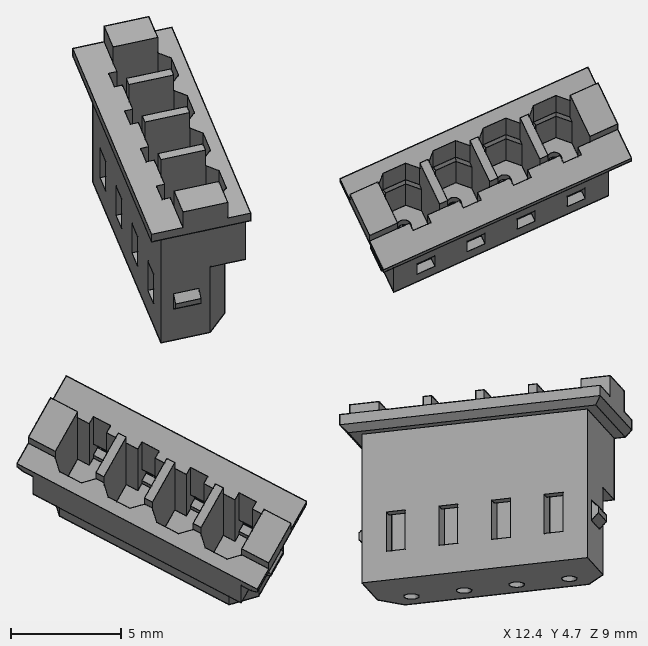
import cadquery as cq

length = 12.4
depth = 4.7
height = 9.0

contact_count = 4
pitch = 2.5
contact_xs = [(i - (contact_count - 1) / 2) * pitch for i in range(contact_count)]

tab_height = 1.0
tab_front_y = 1.49
tab_depth = 2.12
flange_thickness = 0.8
flange_chamfer = 0.31
flange_top_z = height - tab_height
flange_bottom_z = flange_top_z - flange_thickness

body_length = 10.74
body_front_y = 0.7
step_z = 4.22
lower_back_y = 4.02
lower_bevel = 0.99

cavity_width = 2.1
cavity_front_y = tab_front_y
cavity_back_wall = 0.6
cavity_bevel = 0.48
cavity_floor_z = 0.9
ramp_size = 0.15
ramp_bottom_z = step_z + cavity_back_wall
ramp_top_z = ramp_bottom_z + ramp_size
upper_back_y = depth - cavity_back_wall
narrow_back_y = upper_back_y - ramp_size
narrow_bevel = cavity_bevel + ramp_size * (2**0.5 - 1)

slot_width = 0.89
slot_depth = 0.38
window_bottom_z = 1.4
window_height = 1.9
pin_hole_diameter = 0.7
pin_hole_y = 3.05

lug_projection = 0.33
lug_front_y = 1.29
lug_width = 1.2
lug_center_z = 2.5
lug_tip_height = 0.31


def box(x_center, x_size, y_min, y_max, z_min, z_max):
    """Box centred on x_center, with its Y and Z limits given."""
    return (
        cq.Workplane("XY")
        .box(x_size, y_max - y_min, z_max - z_min, centered=(True, False, False))
        .translate((x_center, y_min, z_min))
    )


def bevelled_outline(width, front_y, back_y, bevel):
    """Corner points of a rectangle with its two back corners cut at 45 degrees."""
    half = width / 2
    return [
        (-half, front_y),
        (half, front_y),
        (half, back_y - bevel),
        (half - bevel, back_y),
        (-half + bevel, back_y),
        (-half, back_y - bevel),
    ]


def make_body():
    lower_outline = bevelled_outline(body_length, body_front_y, lower_back_y, lower_bevel)
    lower = cq.Workplane("XY").polyline(lower_outline).close().extrude(step_z)
    upper = box(0, body_length, body_front_y, depth, step_z, flange_bottom_z)
    return lower.union(upper)


def make_flange():
    flange = box(0, length, 0, depth, flange_bottom_z, flange_top_z)
    return flange.faces("<Z").edges("<Y or <X or >X").chamfer(flange_chamfer)


def make_tab_bar():
    return box(0, length, tab_front_y, tab_front_y + tab_depth, flange_top_z, height)


def make_lug(side):
    """Trapezoidal lug with 45 degree flanks; side is -1 or 1 along X."""
    root_x = side * body_length / 2
    tip_x = root_x + side * lug_projection
    half_tip = lug_tip_height / 2
    half_root = half_tip + lug_projection
    profile = [
        (root_x, lug_center_z - half_root),
        (tip_x, lug_center_z - half_tip),
        (tip_x, lug_center_z + half_tip),
        (root_x, lug_center_z + half_root),
    ]
    back_plane = cq.Workplane("XZ", origin=(0, lug_front_y + lug_width, 0))
    return back_plane.polyline(profile).close().extrude(lug_width)


def make_contact_cut(x):
    """Everything removed for one contact: cavity, slot, latch window and pin hole."""
    narrow_outline = bevelled_outline(cavity_width, cavity_front_y, narrow_back_y, narrow_bevel)
    upper_outline = bevelled_outline(cavity_width, cavity_front_y, upper_back_y, cavity_bevel)

    narrow = (
        cq.Workplane("XY", origin=(x, 0, cavity_floor_z))
        .polyline(narrow_outline)
        .close()
        .extrude(ramp_bottom_z - cavity_floor_z)
    )
    ramp = (
        cq.Workplane("XY", origin=(x, 0, ramp_bottom_z))
        .polyline(narrow_outline)
        .close()
        .workplane(offset=ramp_size)
        .polyline(upper_outline)
        .close()
        .loft(ruled=True)
    )
    upper = (
        cq.Workplane("XY", origin=(x, 0, ramp_top_z))
        .polyline(upper_outline)
        .close()
        .extrude(height - ramp_top_z)
    )
    slot_front_y = cavity_front_y - slot_depth
    window_top_z = window_bottom_z + window_height
    slot = box(x, slot_width, slot_front_y, cavity_front_y, cavity_floor_z, height)
    window = box(x, slot_width, 0, slot_front_y, window_bottom_z, window_top_z)
    pin_hole = (
        cq.Workplane("XY", origin=(x, pin_hole_y, 0))
        .circle(pin_hole_diameter / 2)
        .extrude(cavity_floor_z)
    )
    return narrow.union(ramp).union(upper).union(slot).union(window).union(pin_hole)


result = make_body().union(make_flange()).union(make_tab_bar())
for side in (-1, 1):
    result = result.union(make_lug(side))
for contact_x in contact_xs:
    result = result.cut(make_contact_cut(contact_x))